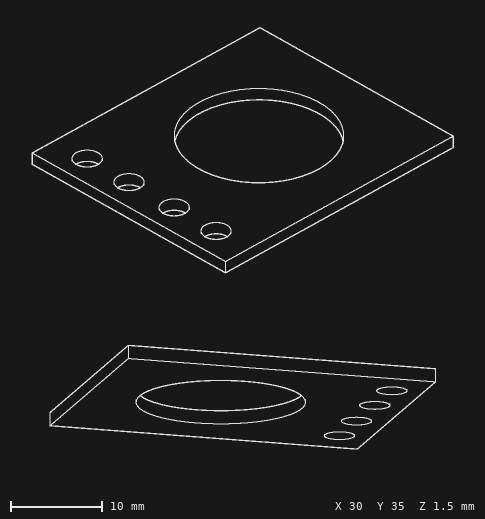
import cadquery as cq

plate_width = 30.0
plate_length = 35.0
plate_thickness = 1.5

opening_diameter = 18.5
opening_y = plate_length / 2 - plate_width / 2

small_hole_diameter = 3.3
small_hole_edge_distance = 3.5
inner_hole_offset = 3.5
outer_hole_offset = 10.0
small_hole_y = -plate_length / 2 + small_hole_edge_distance


def through_hole(diameter, x, y):
    """Cylinder that cuts a hole through the whole plate at (x, y)."""
    return cq.Workplane("XY").center(x, y).circle(diameter / 2).extrude(plate_thickness)


result = cq.Workplane("XY").box(
    plate_width, plate_length, plate_thickness, centered=(True, True, False)
)

result = result.cut(through_hole(opening_diameter, 0, opening_y))

for offset in (inner_hole_offset, outer_hole_offset):
    for side in (-1, 1):
        result = result.cut(through_hole(small_hole_diameter, side * offset, small_hole_y))